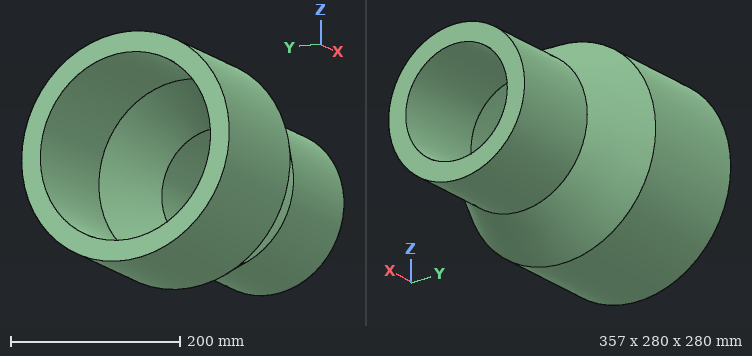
import cadquery as cq

total_length = 357.0
large_length = 150.0
small_length = 125.0
large_outer_diameter = 280.0
small_outer_diameter = 200.0
wall_thickness = 25.5

bore_taper_shift = 5.5

taper_length = total_length - large_length - small_length
large_bore_diameter = large_outer_diameter - 2 * wall_thickness
small_bore_diameter = small_outer_diameter - 2 * wall_thickness


def stepped_solid(large_diameter, small_diameter, taper_start):
    """Large cylinder, cone beginning at taper_start and small cylinder, revolved about X."""
    large_radius = large_diameter / 2
    small_radius = small_diameter / 2
    return (
        cq.Workplane("XY")
        .lineTo(0, large_radius)
        .lineTo(taper_start, large_radius)
        .lineTo(taper_start + taper_length, small_radius)
        .lineTo(total_length, small_radius)
        .lineTo(total_length, 0)
        .close()
        .revolve(360, (0, 0, 0), (1, 0, 0))
    )


outer_body = stepped_solid(large_outer_diameter, small_outer_diameter, large_length)
bore = stepped_solid(large_bore_diameter, small_bore_diameter, large_length - bore_taper_shift)
result = outer_body.cut(bore)